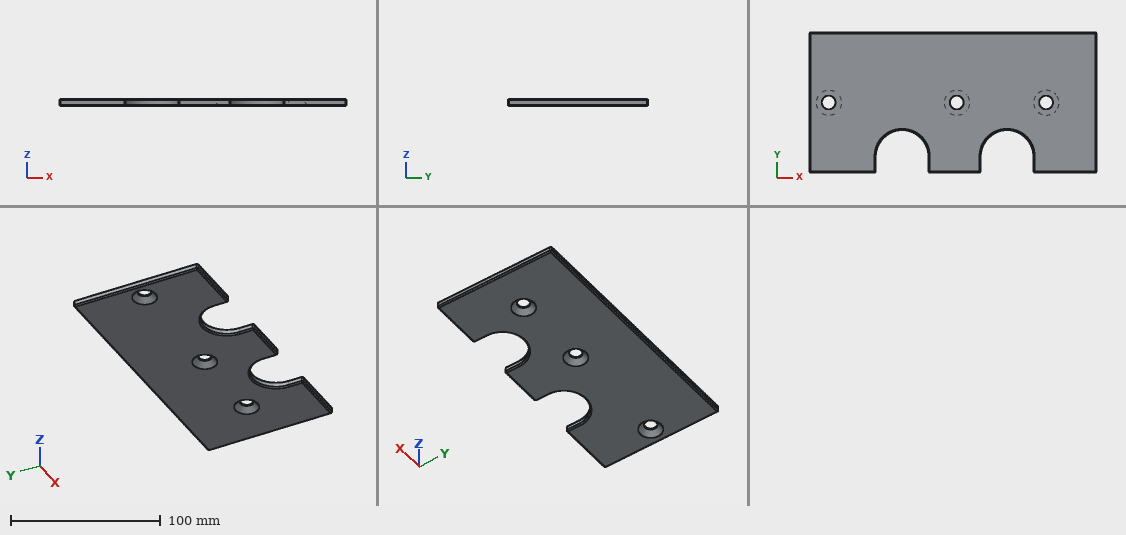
import cadquery as cq

plate_length = 191.85
plate_width = 94.0
plate_thickness = 5.0
edge_chamfer = 1.0

notch_width = 35.0
notch_radius = notch_width / 2
notch_arc_center_y = 11.0
first_notch_x = 62.0
notch_spacing = 70.0
notch_centers_x = [first_notch_x, first_notch_x + notch_spacing]

hole_diameter = 9.0
countersink_depth = 3.9
countersink_diameter = hole_diameter + 2 * countersink_depth
hole_centers_x = [13.0, 98.425, 158.0]
hole_center_y = plate_width / 2


def make_outline():
    """Closed plate outline, running along the notched front edge first."""
    outline = cq.Workplane("XY").moveTo(0, 0)
    for center_x in notch_centers_x:
        left = center_x - notch_radius
        right = center_x + notch_radius
        outline = (
            outline.lineTo(left, 0)
            .lineTo(left, notch_arc_center_y)
            .threePointArc(
                (center_x, notch_arc_center_y + notch_radius),
                (right, notch_arc_center_y),
            )
            .lineTo(right, 0)
        )
    return (
        outline.lineTo(plate_length, 0)
        .lineTo(plate_length, plate_width)
        .lineTo(0, plate_width)
        .close()
    )


def make_plate():
    """Plate with its corners, notch mouths and both face outlines chamfered together."""
    plate = make_outline().extrude(plate_thickness)
    front_corners = plate.faces("<Y").edges("|Z").vals()
    back_corners = plate.faces(">Y").edges("|Z").vals()
    rims = plate.faces("<Z or >Z").edges().vals()
    return plate.newObject(front_corners + back_corners + rims).chamfer(edge_chamfer)


def make_hole_cutter(center_x):
    """Through cylinder with a cone that widens toward the bottom face."""
    base = cq.Vector(center_x, hole_center_y, 0)
    axis = cq.Vector(0, 0, 1)
    bore = cq.Solid.makeCylinder(hole_diameter / 2, plate_thickness, base, axis)
    countersink = cq.Solid.makeCone(
        countersink_diameter / 2, hole_diameter / 2, countersink_depth, base, axis
    )
    return bore.fuse(countersink)


result = make_plate()
for hole_x in hole_centers_x:
    result = result.cut(cq.Workplane(make_hole_cutter(hole_x)))